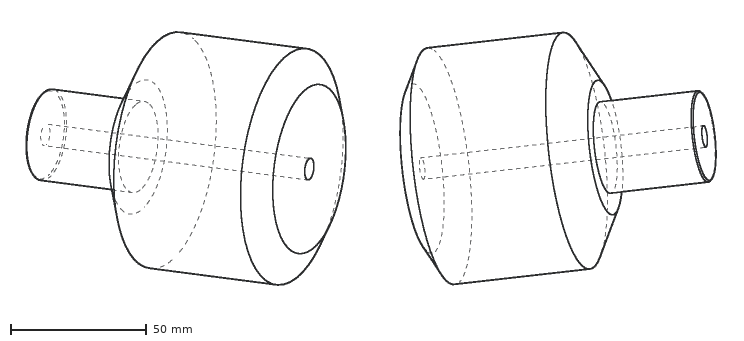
import cadquery as cq
import math

total_length = 108.0
shank_length = 38.0

shank_diameter = 34.0
head_diameter = 88.0
shoulder_diameter = 50.0
end_face_diameter = 63.0
bore_diameter = 8.0

cone_angle = 60.0
shank_chamfer = 0.6


def cone_length(small_diameter, large_diameter):
    """Axial length of a head cone between two diameters."""
    radial_step = (large_diameter - small_diameter) / 2
    return radial_step / math.tan(math.radians(cone_angle))


def make_body():
    """Shank and double-coned head, revolved about the X axis."""
    shank_radius = shank_diameter / 2
    head_radius = head_diameter / 2
    head_start = shank_length + cone_length(shoulder_diameter, head_diameter)
    head_end = total_length - cone_length(end_face_diameter, head_diameter)
    half_profile = [
        (0, 0),
        (0, shank_radius - shank_chamfer),
        (shank_chamfer, shank_radius),
        (shank_length, shank_radius),
        (shank_length, shoulder_diameter / 2),
        (head_start, head_radius),
        (head_end, head_radius),
        (total_length, end_face_diameter / 2),
        (total_length, 0),
    ]
    return cq.Workplane("XY").polyline(half_profile).close().revolve(360, (0, 0, 0), (1, 0, 0))


def make_bore():
    """Cylinder for the through bore along the X axis."""
    return cq.Workplane("YZ").circle(bore_diameter / 2).extrude(total_length)


result = make_body().cut(make_bore())